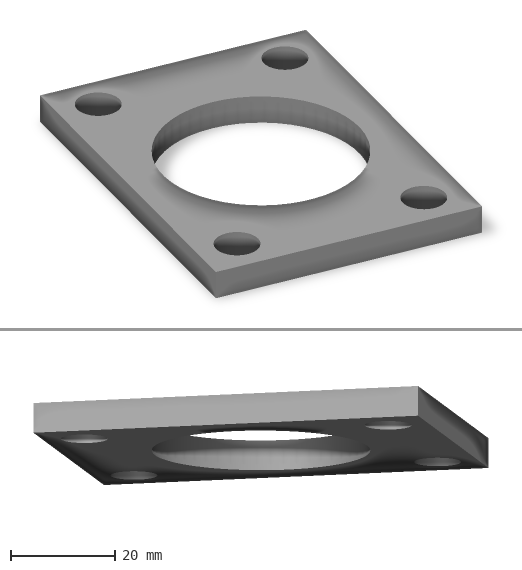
import cadquery as cq

length = 76.0
width = 57.0
thickness = 5.8

bore_diameter = 42.0

hole_diameter = 9.0
hole_spacing_x = 60.0
hole_spacing_y = 40.0


def make_plate():
    """Rectangular plate centred on the Z axis, resting on Z = 0."""
    return cq.Workplane("XY").box(length, width, thickness, centered=(True, True, False))


def cut_bore(plate):
    """Large round opening through the middle of the plate."""
    return plate.faces(">Z").workplane(origin=(0, 0, 0)).hole(bore_diameter)


def cut_mounting_holes(plate):
    """One through hole near each corner."""
    return (
        plate.faces(">Z")
        .workplane(origin=(0, 0, 0))
        .rect(hole_spacing_x, hole_spacing_y, forConstruction=True)
        .vertices()
        .hole(hole_diameter)
    )


result = cut_mounting_holes(cut_bore(make_plate()))